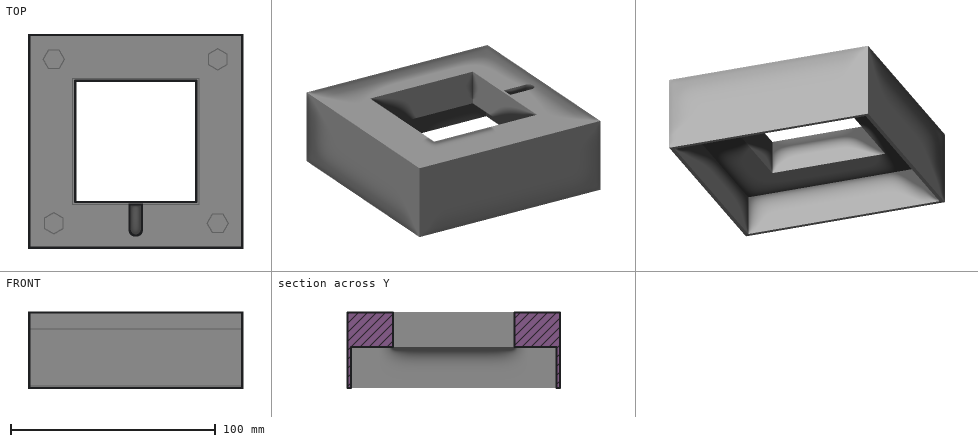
import cadquery as cq

side = 104.0
height = 37.0
rim_height = 1.0
lid_thickness = 8.0
lid_bottom = height - lid_thickness

wall = 2.0
pocket_side = side - 2 * wall
pocket_depth = 20.0
sheet_thickness = 1.0
sheet_top = pocket_depth + sheet_thickness

opening = 59.0
liner_wall = 1.25
liner_side = opening + 2 * liner_wall

plug_sides = 6
plug_across_flats = 9.0
plug_offset = 40.0
plug_count = 4

slot_width = 6.0
slot_reach = 46.0


def square_block(width, bottom, top):
    """Square block centred on the Z axis."""
    return cq.Workplane("XY").workplane(offset=bottom).rect(width, width).extrude(top - bottom)


def square_tube(outer, inner, bottom, top):
    """Square tube centred on the Z axis."""
    return square_block(outer, bottom, top).cut(square_block(inner, bottom, top))


def make_slot():
    """Cutter for the lid slot, starting at the outer face of the liner."""
    radius = slot_width / 2
    end_centre_y = radius - slot_reach
    liner_face_y = -liner_side / 2
    return (
        cq.Workplane("XY")
        .workplane(offset=lid_bottom)
        .moveTo(-radius, liner_face_y)
        .lineTo(-radius, end_centre_y)
        .threePointArc((0, -slot_reach), (radius, end_centre_y))
        .lineTo(radius, liner_face_y)
        .close()
        .extrude(lid_thickness)
    )


def make_plugs():
    """Hexagonal prisms in the lid corners, each turned a quarter turn from its neighbour."""
    plug = (
        cq.Workplane("XY")
        .workplane(offset=lid_bottom)
        .polygon(plug_sides, plug_across_flats, circumscribed=True)
        .extrude(lid_thickness)
        .translate((plug_offset, plug_offset, 0))
    )
    turn = 360 / plug_count
    return [plug.rotate((0, 0, 0), (0, 0, 1), turn * index) for index in range(plug_count)]


def make_lid(plugs):
    """Lid plate with openings for the liner, the plugs and the slot."""
    lid = square_tube(side, liner_side, lid_bottom, height).cut(make_slot())
    for plug in plugs:
        lid = lid.cut(plug)
    return lid


def make_body():
    """Block between the rim and the lid, with room for the liner, the sheet and the pocket."""
    body = square_tube(side, liner_side, rim_height, lid_bottom)
    return body.cut(square_block(pocket_side, rim_height, sheet_top))


def make_part():
    """Join the pieces into one solid, keeping the seams between their flush faces."""
    plugs = make_plugs()
    rim = square_tube(side, pocket_side, 0, rim_height)
    sheet = square_tube(pocket_side, opening, pocket_depth, sheet_top)
    liner = square_tube(liner_side, opening, sheet_top, height)
    part = make_body()
    for piece in [rim, sheet, liner, make_lid(plugs)] + plugs:
        part = part.union(piece, clean=False)
    return part


result = make_part()